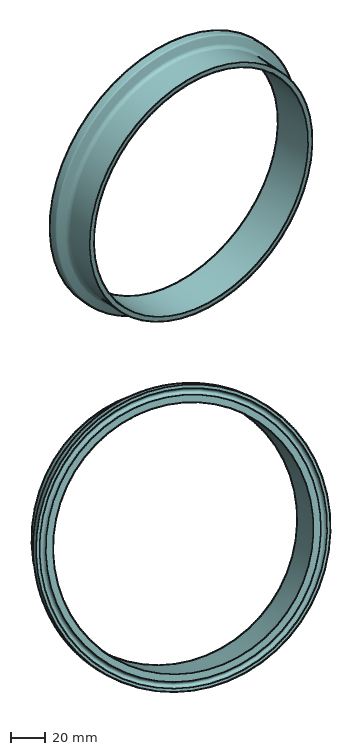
import cadquery as cq
import math

length = 28.0
flange_radius = 183.0 / 2
tube_radius = 168.3 / 2
bore_radius = 161.7 / 2

back_angle = math.radians(18)
back_corner_x = 5.8
rim_round = 1.2
root_round = 2.5

groove_radius = 87.4
groove_width = 3.9
groove_wall_angle = math.radians(25)
groove_bottom_round = 1.4


def ferrule_blank():
    back_root_x = back_corner_x + (flange_radius - tube_radius) * math.tan(back_angle)
    body = (
        cq.Workplane("XZ")
        .moveTo(0, bore_radius)
        .lineTo(0, flange_radius)
        .lineTo(back_corner_x, flange_radius)
        .lineTo(back_root_x, tube_radius)
        .lineTo(length, tube_radius)
        .lineTo(length, bore_radius)
        .close()
        .revolve(360, (0, 0, 0), (1, 0, 0))
    )
    rim_edge = cq.selectors.RadiusNthSelector(-1)
    body = body.faces("%CONE").edges(rim_edge).fillet(rim_round)
    root_edge = cq.selectors.RadiusNthSelector(0)
    return body.faces("%CONE").edges(root_edge).fillet(root_round)


def gasket_groove():
    half_mouth = groove_width / 2
    half_arc = groove_bottom_round * math.cos(groove_wall_angle)
    wall_depth = (half_mouth - half_arc) / math.tan(groove_wall_angle)
    arc_depth = groove_bottom_round * (1 - math.sin(groove_wall_angle))
    return (
        cq.Workplane("XZ")
        .moveTo(0, groove_radius - half_mouth)
        .lineTo(wall_depth, groove_radius - half_arc)
        .threePointArc(
            (wall_depth + arc_depth, groove_radius),
            (wall_depth, groove_radius + half_arc),
        )
        .lineTo(0, groove_radius + half_mouth)
        .close()
        .revolve(360, (0, 0, 0), (1, 0, 0))
    )


result = ferrule_blank().cut(gasket_groove())